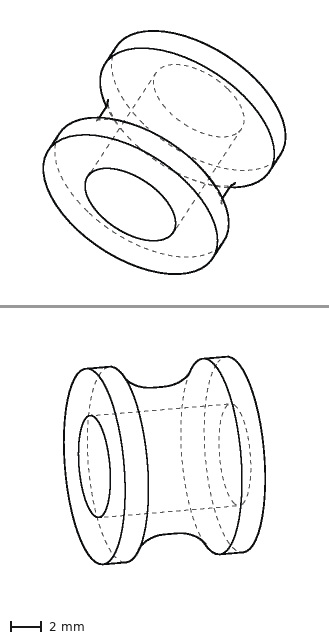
import cadquery as cq
import math

outer_diameter = 12.7
bore_diameter = 6.6
length = 9.525
flange_width = length / 6
groove_bottom_diameter = 9.525
groove_radius = 3.175

outer_radius = outer_diameter / 2
groove_bottom_radius = groove_bottom_diameter / 2
half_length = length / 2
groove_half_width = half_length - flange_width

groove_depth = outer_radius - groove_bottom_radius
flank_angle = math.acos(1 - groove_depth / groove_radius)
flat_half_width = groove_half_width - groove_radius * math.sin(flank_angle)


def flank_midpoint(side):
    """Point (radius, y) halfway along the flank on the given side (-1 or +1) of the groove."""
    half_angle = flank_angle / 2
    radius = groove_bottom_radius + groove_radius * (1 - math.cos(half_angle))
    y = side * (flat_half_width + groove_radius * math.sin(half_angle))
    return radius, y


def make_roller():
    """Revolve the half section, bore included, around the Y axis."""
    bore_radius = bore_diameter / 2
    section = (
        cq.Workplane("XY")
        .moveTo(bore_radius, -half_length)
        .lineTo(outer_radius, -half_length)
        .lineTo(outer_radius, -groove_half_width)
        .threePointArc(flank_midpoint(-1), (groove_bottom_radius, -flat_half_width))
        .lineTo(groove_bottom_radius, flat_half_width)
        .threePointArc(flank_midpoint(1), (outer_radius, groove_half_width))
        .lineTo(outer_radius, half_length)
        .lineTo(bore_radius, half_length)
        .close()
    )
    return section.revolve(360, (0, 0, 0), (0, 1, 0))


result = make_roller()